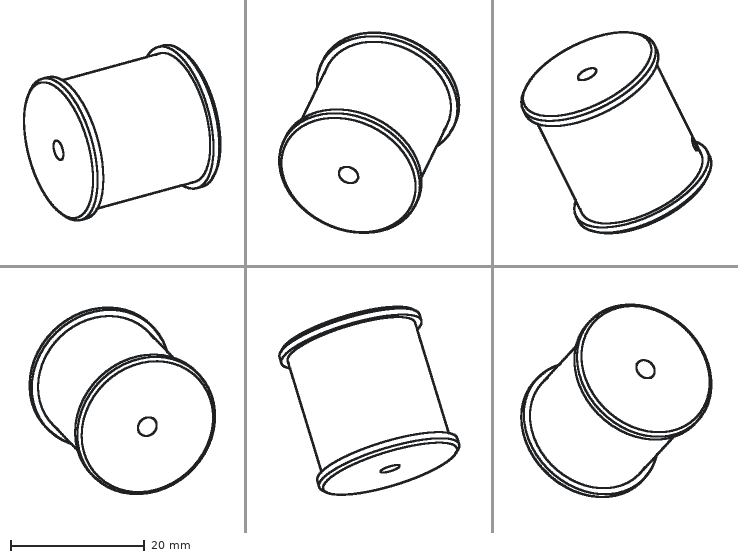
import cadquery as cq

length = 22.0
flange_diameter = 22.0
flange_thickness = 1.5
rim_chamfer = 0.5
barrel_diameter = 20.0
bore_diameter = 3.0
side_hole_diameter = 2.0
side_hole_from_front = 4.5

half_length = length / 2
flange_radius = flange_diameter / 2


def cylinder_along_y(diameter, y_start, height):
    """Cylinder on the spool axis, growing from y_start towards +Y."""
    base = cq.Workplane("XZ", origin=(0, y_start, 0))
    return base.circle(diameter / 2).extrude(-height)


def flange(y_start, outer_face):
    """End disc with its outer rim chamfered."""
    disc = cylinder_along_y(flange_diameter, y_start, flange_thickness)
    return disc.faces(outer_face).edges().chamfer(rim_chamfer)


spool = cylinder_along_y(barrel_diameter, -half_length, length)
spool = spool.union(flange(-half_length, "<Y"))
spool = spool.union(flange(half_length - flange_thickness, ">Y"))

bore = cylinder_along_y(bore_diameter, -half_length, length)

side_hole = (
    cq.Workplane("YZ", origin=(-flange_radius, side_hole_from_front - half_length, 0))
    .circle(side_hole_diameter / 2)
    .extrude(flange_radius)
)

result = spool.cut(bore).cut(side_hole)